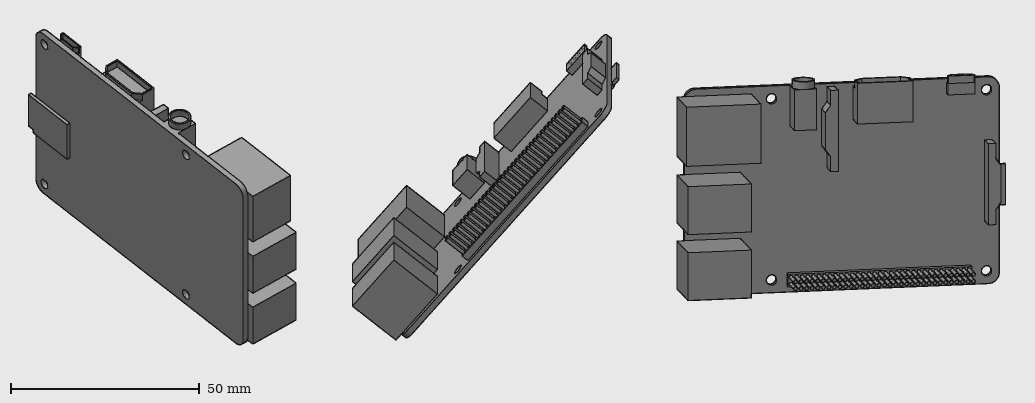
import cadquery as cq


BOARD_LENGTH = 85.0
BOARD_HEIGHT = 56.0
BOARD_THICKNESS = 1.6
CORNER_RADIUS = 3.0
HOLE_DIAMETER = 2.8
HOLE_INSET = 3.5
HOLE_SPACING_X = 58.0
HOLE_SPACING_Z = BOARD_HEIGHT - 2 * HOLE_INSET

CARD_THICKNESS = 1.0
CARD_OVERHANG = 2.0
CARD_BOTTOM = 20.8
SOCKET_LENGTH = 14.0
SOCKET_BOTTOM = 19.8
SOCKET_TOP = 31.9

SIDE_OVERHANG = 2.05
SIDE_FACE_X = BOARD_LENGTH + SIDE_OVERHANG
USB_DEPTH = 17.1
USB_HEIGHT = 15.0
USB_WIDTH = 13.0
USB_BOTTOMS = (2.1, 20.0)
NETWORK_DEPTH = 20.0
NETWORK_HEIGHT = 13.1
NETWORK_WIDTH = 16.0
NETWORK_BOTTOM = 38.1

SHELL_OVERHANG = 1.1
SHELL_DEPTH = 2.05
HDMI_LEFT = 24.5
HDMI_WIDTH = 15.0
HDMI_HEIGHT = 6.0
HDMI_DEPTH = 11.0
HDMI_WALL = 0.45
HDMI_CHAMFER_X = 2.1
HDMI_CHAMFER_Y = 2.0
POWER_LEFT = 6.9
POWER_WIDTH = 7.4
POWER_HEIGHT = 2.0
POWER_DEPTH = 5.1
POWER_WALL = 0.3
POWER_CHAMFER = 1.2

AUDIO_LEFT = 50.55
AUDIO_SIZE = 6.0
AUDIO_DEPTH = 11.0
AUDIO_RING_LENGTH = 2.05
AUDIO_BORE_DIAMETER = 5.0

RIBBON_HEIGHT = 5.0
RIBBON_LENGTH = 22.0
RIBBON_BODY_DEPTH = 2.05
RIBBON_TONGUE_DEPTH = 1.4
RIBBON_TONGUE_ROOT = 14.0
RIBBON_TONGUE_TIP = 10.0
DISPLAY_BODY_LEFT = 2.0
DISPLAY_CENTER_Z = BOARD_HEIGHT / 2
CAMERA_BODY_RIGHT = 46.55
CAMERA_CENTER_Z = 44.2

PIN_COLUMNS = 33
PIN_ROWS = 2
PIN_ROW_PITCH = 1.9
PIN_DIAMETER = 1.0
PIN_TIP_HEIGHT = 8.0
HEADER_LEFT = 7.8
HEADER_LENGTH = 49.6
PIN_PITCH = HEADER_LENGTH / PIN_COLUMNS
HEADER_HEIGHT = 2.0
HEADER_BOTTOM = 1.8
HEADER_WIDTH = 3.5


def box(left, back, bottom, length, depth, height):
    """Block from its minimum corner and its sizes along X, Y and Z."""
    return cq.Workplane("XY").box(length, depth, height, centered=False).translate((left, back, bottom))


def on_board(left, bottom, length, height, width):
    """Block standing on the component face: length along X, height along Y, width along Z."""
    return box(left, BOARD_THICKNESS, bottom, length, height, width)


def board():
    plate = box(0, 0, 0, BOARD_LENGTH, BOARD_THICKNESS, BOARD_HEIGHT)
    plate = plate.edges("|Y").fillet(CORNER_RADIUS)
    for x in (HOLE_INSET, HOLE_INSET + HOLE_SPACING_X):
        for z in (HOLE_INSET, HOLE_INSET + HOLE_SPACING_Z):
            hole = cq.Workplane("XZ", origin=(x, 0, z)).circle(HOLE_DIAMETER / 2).extrude(-BOARD_THICKNESS)
            plate = plate.cut(hole)
    return plate


def memory_card():
    socket_height = SOCKET_TOP - SOCKET_BOTTOM
    socket = box(0, -CARD_THICKNESS, SOCKET_BOTTOM, SOCKET_LENGTH, CARD_THICKNESS, socket_height)
    card_length = CARD_OVERHANG + SOCKET_LENGTH
    card_height = SOCKET_TOP - CARD_BOTTOM
    card = box(-CARD_OVERHANG, -CARD_THICKNESS, CARD_BOTTOM, card_length, CARD_THICKNESS, card_height)
    return socket.union(card)


def side_sockets():
    sockets = on_board(
        SIDE_FACE_X - NETWORK_DEPTH, NETWORK_BOTTOM, NETWORK_DEPTH, NETWORK_HEIGHT, NETWORK_WIDTH
    )
    for bottom in USB_BOTTOMS:
        sockets = sockets.union(on_board(SIDE_FACE_X - USB_DEPTH, bottom, USB_DEPTH, USB_HEIGHT, USB_WIDTH))
    return sockets


def plug_socket(left, width, height, depth, wall, chamfer_x, chamfer_y):
    """Block with a hollow mouth whose two corners next to the board are cut off."""
    mouth_top = BOARD_HEIGHT + SHELL_OVERHANG
    mouth_bottom = mouth_top - SHELL_DEPTH
    block = on_board(left, mouth_top - depth, width, height, depth - SHELL_DEPTH)
    mouth = (
        cq.Workplane("XY", origin=(left, BOARD_THICKNESS, mouth_bottom))
        .moveTo(chamfer_x, 0)
        .lineTo(width - chamfer_x, 0)
        .lineTo(width, chamfer_y)
        .lineTo(width, height)
        .lineTo(0, height)
        .lineTo(0, chamfer_y)
        .close()
        .extrude(SHELL_DEPTH)
    )
    hollow_mouth = mouth.faces(">Z").wires().toPending().offset2D(-wall).cutBlind(-SHELL_DEPTH)
    return block.union(hollow_mouth)


def audio_jack():
    block = on_board(AUDIO_LEFT, BOARD_HEIGHT - AUDIO_DEPTH, AUDIO_SIZE, AUDIO_SIZE, AUDIO_DEPTH)
    radius = AUDIO_SIZE / 2
    ring = (
        cq.Workplane("XY", origin=(AUDIO_LEFT + radius, BOARD_THICKNESS + radius, BOARD_HEIGHT))
        .circle(radius)
        .circle(AUDIO_BORE_DIAMETER / 2)
        .extrude(AUDIO_RING_LENGTH)
    )
    return block.union(ring)


def ribbon_connector(tongue_root_x, center_z, direction):
    """Bar along Z with a tapered tongue; direction is the side (-1 or +1 in X) the tongue points to."""
    tip_x = tongue_root_x + direction * RIBBON_TONGUE_DEPTH
    far_x = tongue_root_x - direction * RIBBON_BODY_DEPTH
    bar = on_board(
        min(tongue_root_x, far_x),
        center_z - RIBBON_LENGTH / 2,
        RIBBON_BODY_DEPTH,
        RIBBON_HEIGHT,
        RIBBON_LENGTH,
    )
    tongue = (
        cq.Workplane("XZ", origin=(0, BOARD_THICKNESS, center_z))
        .moveTo(tongue_root_x, -RIBBON_TONGUE_ROOT / 2)
        .lineTo(tip_x, -RIBBON_TONGUE_TIP / 2)
        .lineTo(tip_x, RIBBON_TONGUE_TIP / 2)
        .lineTo(tongue_root_x, RIBBON_TONGUE_ROOT / 2)
        .close()
        .extrude(-RIBBON_HEIGHT)
    )
    return bar.union(tongue)


def pin_header():
    base = on_board(HEADER_LEFT, HEADER_BOTTOM, HEADER_LENGTH, HEADER_HEIGHT, HEADER_WIDTH)
    center = (
        HEADER_LEFT + HEADER_LENGTH / 2,
        BOARD_THICKNESS + HEADER_HEIGHT,
        HEADER_BOTTOM + HEADER_WIDTH / 2,
    )
    pins = (
        cq.Workplane("XZ", origin=center)
        .rarray(PIN_PITCH, PIN_ROW_PITCH, PIN_COLUMNS, PIN_ROWS)
        .circle(PIN_DIAMETER / 2)
        .extrude(HEADER_HEIGHT - PIN_TIP_HEIGHT)
    )
    return base.union(pins)


hdmi_socket = plug_socket(
    HDMI_LEFT, HDMI_WIDTH, HDMI_HEIGHT, HDMI_DEPTH, HDMI_WALL, HDMI_CHAMFER_X, HDMI_CHAMFER_Y
)
power_socket = plug_socket(
    POWER_LEFT, POWER_WIDTH, POWER_HEIGHT, POWER_DEPTH, POWER_WALL, POWER_CHAMFER, POWER_CHAMFER
)

result = (
    board()
    .union(memory_card())
    .union(side_sockets())
    .union(hdmi_socket)
    .union(power_socket)
    .union(audio_jack())
    .union(ribbon_connector(DISPLAY_BODY_LEFT, DISPLAY_CENTER_Z, -1))
    .union(ribbon_connector(CAMERA_BODY_RIGHT, CAMERA_CENTER_Z, 1))
    .union(pin_header())
)